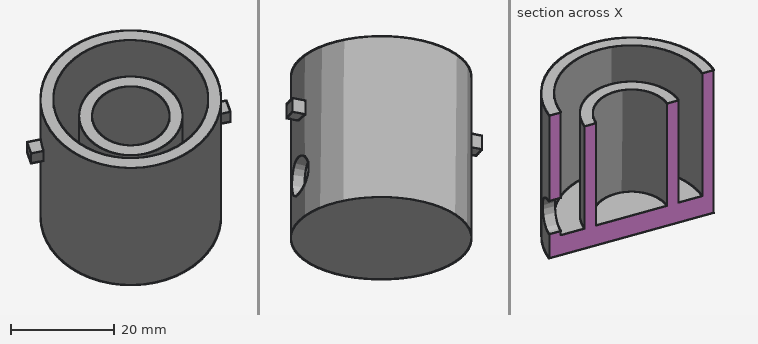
import cadquery as cq

height = 35.0
outer_diameter = 35.0
inner_diameter = 30
wall = (outer_diameter - inner_diameter) / 2
floor_thickness = 5.0

collar_outer_diameter = 20
collar_bore_diameter = collar_outer_diameter - 2 * wall
collar_drop = 5.0
collar_height = height - collar_drop - floor_thickness

pin_size = 3.0
pin_span = 40
pin_drop = 10
pin_root = outer_diameter / 2 - wall / 2
pin_length = pin_span / 2 - pin_root
pin_center_z = height - pin_drop - pin_size / 2

side_hole_diameter = 8
side_hole_z = 10
side_hole_start = (collar_outer_diameter + inner_diameter) / 4


def make_cup():
    body = cq.Workplane("XY").circle(outer_diameter / 2).extrude(height)
    cavity = (
        cq.Workplane("XY", origin=(0, 0, floor_thickness))
        .circle(inner_diameter / 2)
        .extrude(height - floor_thickness)
    )
    return body.cut(cavity)


def make_collar():
    post = cq.Workplane("XY").circle(collar_outer_diameter / 2).extrude(floor_thickness + collar_height)
    bore = (
        cq.Workplane("XY", origin=(0, 0, floor_thickness))
        .circle(collar_bore_diameter / 2)
        .extrude(collar_height)
    )
    return post.cut(bore)


def make_pin(side):
    center_y = side * (pin_root + pin_length / 2)
    return cq.Workplane("XY").box(pin_size, pin_length, pin_size).translate(
        (-pin_size / 2, center_y, pin_center_z)
    )


def make_side_hole():
    return (
        cq.Workplane("XZ", origin=(0, side_hole_start, side_hole_z))
        .circle(side_hole_diameter / 2)
        .extrude(-outer_diameter / 2)
    )


result = make_cup().union(make_collar())
for side in (-1, 1):
    result = result.union(make_pin(side))
result = result.cut(make_side_hole())